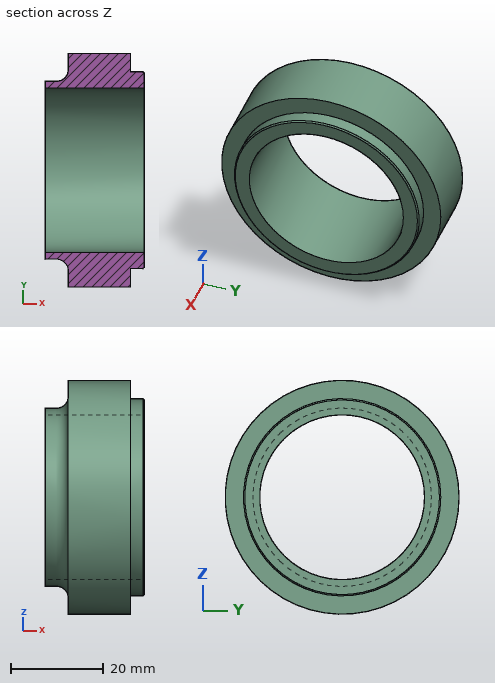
import cadquery as cq
import math

bore_diameter = 35.6
neck_diameter = 38.6
spigot_diameter = 42.7
flange_diameter = 50.65

neck_length = 5.0
flange_length = 13.5
spigot_length = 3.0

neck_fillet = 2.5
spigot_chamfer = 0.3

flange_start = neck_length
flange_end = flange_start + flange_length
spigot_end = flange_end + spigot_length

bore_radius = bore_diameter / 2
neck_radius = neck_diameter / 2
spigot_radius = spigot_diameter / 2
flange_radius = flange_diameter / 2


def ring_profile():
    """Half section of the ring: X is axial, Y is radial."""
    arc_offset = neck_fillet * math.sin(math.radians(45))
    arc_centre_x = flange_start - neck_fillet
    arc_centre_radius = neck_radius + neck_fillet
    arc_middle = (arc_centre_x + arc_offset, arc_centre_radius - arc_offset)

    return (
        cq.Workplane("XY")
        .moveTo(0, bore_radius)
        .lineTo(0, neck_radius)
        .lineTo(arc_centre_x, neck_radius)
        .threePointArc(arc_middle, (flange_start, arc_centre_radius))
        .lineTo(flange_start, flange_radius)
        .lineTo(flange_end, flange_radius)
        .lineTo(flange_end, spigot_radius)
        .lineTo(spigot_end - spigot_chamfer, spigot_radius)
        .lineTo(spigot_end, spigot_radius - spigot_chamfer)
        .lineTo(spigot_end, bore_radius)
        .close()
    )


result = ring_profile().revolve(360, (0, 0, 0), (1, 0, 0))